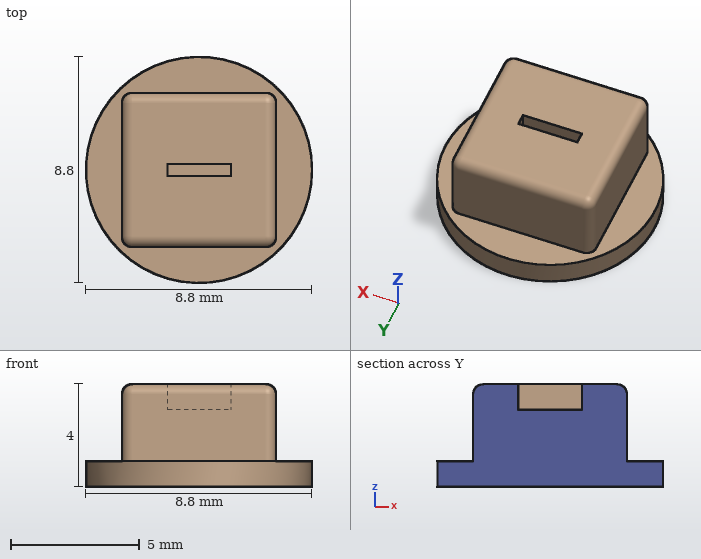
import cadquery as cq

flange_diameter = 8.8
flange_thickness = 1.0

total_height = 4.0
block_side = 6.0
block_height = total_height - flange_thickness
edge_radius = 0.4

slot_length = 2.47
slot_width = 0.47
slot_depth = 1.0


def make_flange():
    """Disc with its underside at Z = 0, centred on the Z axis."""
    return cq.Workplane("XY").circle(flange_diameter / 2).extrude(flange_thickness)


def make_block():
    """Square block with rounded vertical and top edges; the bottom edges stay sharp."""
    block = (
        cq.Workplane("XY")
        .workplane(offset=flange_thickness)
        .rect(block_side, block_side)
        .extrude(block_height)
    )
    return block.edges("|Z or >Z").fillet(edge_radius)


def make_slot_cutter():
    """Rectangular solid that removes the slot from the top face downwards."""
    return (
        cq.Workplane("XY")
        .workplane(offset=total_height)
        .rect(slot_length, slot_width)
        .extrude(-slot_depth)
    )


result = make_flange().union(make_block()).cut(make_slot_cutter())